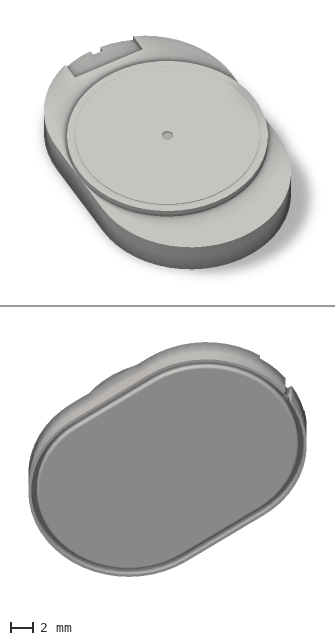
import cadquery as cq

length = 26.5
width = 18.0
base_height = 2.97

rim_diameter = width
rim_height = 0.75
cap_diameter = 16.5
cap_height = 0.08
rim_top = base_height + rim_height
cap_top = rim_top + cap_height

vent_diameter = 1.0
vent_depth = 0.15

recess_length = 2.5
recess_width = 7.0
recess_depth = 0.5

wire_width = 1.0
notch_length = 0.5

wall = 0.26
core_inset = (width - cap_diameter) / 2
groove_height = 0.95
core_edge_radius = 0.25

end_x = -length / 2


def disc(diameter, height, bottom):
    """Upright cylinder on the central axis."""
    return cq.Workplane("XY", origin=(0, 0, bottom)).circle(diameter / 2).extrude(height)


def end_cut(cut_length, cut_width, bottom, top):
    """Box that reaches inward from the -X end, centred on Y = 0."""
    return (
        cq.Workplane("XY", origin=(end_x + cut_length / 2, 0, bottom))
        .rect(cut_length, cut_width)
        .extrude(top - bottom)
    )


def stadium(inset, height):
    """Housing outline moved inward by inset, extruded up from the bottom."""
    return cq.Workplane("XY").slot2D(length - 2 * inset, width - 2 * inset).extrude(height)


housing = stadium(0, base_height)
rim = disc(rim_diameter, rim_height, base_height)
cap = disc(cap_diameter, cap_height, rim_top)
body = housing.union(rim).union(cap)
body = body.cut(disc(vent_diameter, vent_depth, cap_top - vent_depth))

recess = end_cut(recess_length, recess_width, base_height - recess_depth, base_height)
notch = end_cut(notch_length, wire_width, 0, base_height)

core = stadium(core_inset, groove_height).faces("<Z").edges().fillet(core_edge_radius)
groove = stadium(wall, groove_height).cut(core)

result = body.cut(recess).cut(notch).cut(groove)